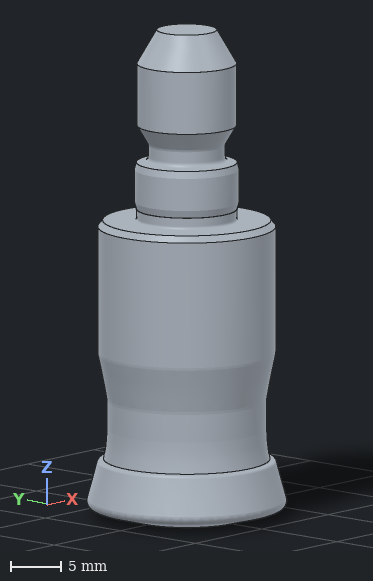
import cadquery as cq
import math

TOTAL_HEIGHT = 49.5
TIP_BASE_Z = 46.1
HEAD_BOTTOM_Z = 39.8
NECK_TOP_Z = 37.85
COLLAR_TOP_Z = 36.05
COLLAR_BOTTOM_Z = 31.3
SHOULDER_Z = 30.15
TAPER_TOP_Z = 16.65
TAPER_BOTTOM_Z = 12.0
FLARE_START_Z = 9.0
FOOT_TOP_Z = 5.9

TIP_RADIUS = 3.0
PIN_RADIUS = 10.0 / 2
NECK_RADIUS = 7.7 / 2
COLLAR_RADIUS = 10.5 / 2
COLLAR_END_RADIUS = 10.1 / 2
BARREL_RADIUS = 17.8 / 2
STEM_RADIUS = 16.0 / 2
FLARE_END_RADIUS = 8.3

COLLAR_CHAMFER_HEIGHT = 0.75
BARREL_CHAMFER_WIDTH = 0.5
BARREL_CHAMFER_HEIGHT = 0.65
NECK_TOP_FILLET = 0.5
NECK_BASE_FILLET = 0.6
PIN_BASE_FILLET = 0.4
TAPER_BLEND_RADIUS = 1.5
RECESS_RADIUS = 6.25
RECESS_FLOOR_WIDTH = 0.45
RECESS_DEPTH = 0.15

FOOT_RADIUS = 20.0 / 2
FOOT_FACE_RADIUS = 6.0
FOOT_ANGLE = math.radians(15)
FOOT_RIM_FILLET = 0.75
FOOT_TOP_FILLET = 0.5


def revolve_profile(profile):
    """Turn a closed (radius, height) outline about the Z axis."""
    return profile.close().revolve(360, (0, 0, 0), (0, 1, 0))


def fillet_rim(body, height, edge_radius, fillet_radius):
    """Round the circular edge that has the given height and radius."""
    tolerance = 0.005
    rims = [
        edge
        for edge in body.edges("%CIRCLE").vals()
        if abs(edge.Center().z - height) < tolerance and abs(edge.radius() - edge_radius) < tolerance
    ]
    return body.newObject(rims).fillet(fillet_radius)


def make_spindle():
    """Pin with head, neck and collar on a barrel that tapers to a flared stem."""
    flare_height = FLARE_START_Z - FOOT_TOP_Z
    flare_growth = FLARE_END_RADIUS - STEM_RADIUS
    flare_arc_radius = (flare_height**2 + flare_growth**2) / (2 * flare_growth)
    flare_mid_drop = flare_height / 2
    flare_mid_radius = STEM_RADIUS + flare_arc_radius - math.sqrt(flare_arc_radius**2 - flare_mid_drop**2)

    recess_floor_z = SHOULDER_Z - RECESS_DEPTH
    recess_floor_radius = PIN_RADIUS + RECESS_FLOOR_WIDTH

    profile = (
        cq.Workplane("XZ")
        .moveTo(0, FOOT_TOP_Z)
        .lineTo(FLARE_END_RADIUS, FOOT_TOP_Z)
        .threePointArc((flare_mid_radius, FLARE_START_Z - flare_mid_drop), (STEM_RADIUS, FLARE_START_Z))
        .lineTo(STEM_RADIUS, TAPER_BOTTOM_Z)
        .lineTo(BARREL_RADIUS, TAPER_TOP_Z)
        .lineTo(BARREL_RADIUS, SHOULDER_Z - BARREL_CHAMFER_HEIGHT)
        .lineTo(BARREL_RADIUS - BARREL_CHAMFER_WIDTH, SHOULDER_Z)
        .lineTo(RECESS_RADIUS, SHOULDER_Z)
        .lineTo(recess_floor_radius, recess_floor_z)
        .lineTo(PIN_RADIUS, recess_floor_z)
        .lineTo(PIN_RADIUS, COLLAR_BOTTOM_Z)
        .lineTo(COLLAR_END_RADIUS, COLLAR_BOTTOM_Z)
        .lineTo(COLLAR_RADIUS, COLLAR_BOTTOM_Z + COLLAR_CHAMFER_HEIGHT)
        .lineTo(COLLAR_RADIUS, COLLAR_TOP_Z - COLLAR_CHAMFER_HEIGHT)
        .lineTo(COLLAR_END_RADIUS, COLLAR_TOP_Z)
        .lineTo(NECK_RADIUS, COLLAR_TOP_Z)
        .lineTo(NECK_RADIUS, NECK_TOP_Z)
        .lineTo(PIN_RADIUS, HEAD_BOTTOM_Z)
        .lineTo(PIN_RADIUS, TIP_BASE_Z)
        .lineTo(TIP_RADIUS, TOTAL_HEIGHT)
        .lineTo(0, TOTAL_HEIGHT)
    )
    body = revolve_profile(profile)
    body = fillet_rim(body, NECK_TOP_Z, NECK_RADIUS, NECK_TOP_FILLET)
    body = fillet_rim(body, COLLAR_TOP_Z, NECK_RADIUS, NECK_BASE_FILLET)
    body = fillet_rim(body, recess_floor_z, PIN_RADIUS, PIN_BASE_FILLET)
    body = fillet_rim(body, TAPER_TOP_Z, BARREL_RADIUS, TAPER_BLEND_RADIUS)
    return fillet_rim(body, TAPER_BOTTOM_Z, STEM_RADIUS, TAPER_BLEND_RADIUS)


def make_foot():
    """Conical foot with a rounded rim and a bevelled underside, flat against the stem."""
    rim_loss = FOOT_RIM_FILLET * (math.sin(FOOT_ANGLE) + math.cos(FOOT_ANGLE) - 1)
    rim_radius = FOOT_RADIUS + rim_loss
    rim_z = (rim_radius - FOOT_FACE_RADIUS) * math.tan(FOOT_ANGLE)
    top_radius = rim_radius - (FOOT_TOP_Z - rim_z) * math.tan(FOOT_ANGLE)

    profile = (
        cq.Workplane("XZ")
        .lineTo(FOOT_FACE_RADIUS, 0)
        .lineTo(rim_radius, rim_z)
        .lineTo(top_radius, FOOT_TOP_Z)
        .lineTo(0, FOOT_TOP_Z)
    )
    body = revolve_profile(profile)
    body = fillet_rim(body, rim_z, rim_radius, FOOT_RIM_FILLET)
    return fillet_rim(body, FOOT_TOP_Z, top_radius, FOOT_TOP_FILLET)


spindle = make_spindle()
foot = make_foot()

result = cq.Compound.makeCompound([spindle.val(), foot.val()])